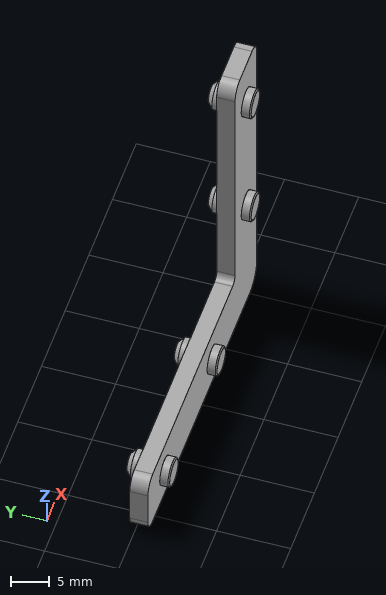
import cadquery as cq

leg_length = 46.0
leg_width = 9.2
plate_thickness = 2.5
end_radius = 2.02
outer_corner_radius = 3.0
inner_corner_radius = 1.0

pin_diameter = 4.0
pin_front_height = 1.3
pin_back_height = 2.2
front_chamfer = 0.2
back_chamfer = 0.75
pin_end_distance = 7.0
pin_spacing = 20.0

half_length = leg_length / 2
inner_edge = half_length - leg_width
leg_axis = half_length - leg_width / 2
pin_length = pin_front_height + plate_thickness + pin_back_height


def make_plate():
    """L-shaped plate with its front face on Y = 0 and its outer corner at +X, -Z."""
    outline = [
        (-half_length, -half_length),
        (half_length, -half_length),
        (half_length, half_length),
        (inner_edge, half_length),
        (inner_edge, -inner_edge),
        (-half_length, -inner_edge),
    ]
    plate = cq.Workplane("XZ").polyline(outline).close().extrude(-plate_thickness)
    plate = plate.edges("|Y").edges("<X or >Z").fillet(end_radius)
    outer_corner = cq.selectors.NearestToPointSelector((half_length, plate_thickness / 2, -half_length))
    plate = plate.edges(outer_corner).fillet(outer_corner_radius)
    inner_corner = cq.selectors.NearestToPointSelector((inner_edge, plate_thickness / 2, -inner_edge))
    return plate.edges(inner_corner).fillet(inner_corner_radius)


def make_pin(x, z):
    """Chamfered pin running through the plate and standing out on both faces."""
    pin = (
        cq.Workplane("XZ", origin=(x, -pin_front_height, z))
        .circle(pin_diameter / 2)
        .extrude(-pin_length)
    )
    return pin.faces("<Y").chamfer(front_chamfer).faces(">Y").chamfer(back_chamfer)


result = make_plate()
for step in range(2):
    from_center = half_length - pin_end_distance - step * pin_spacing
    result = result.union(make_pin(-from_center, -leg_axis))
    result = result.union(make_pin(leg_axis, from_center))